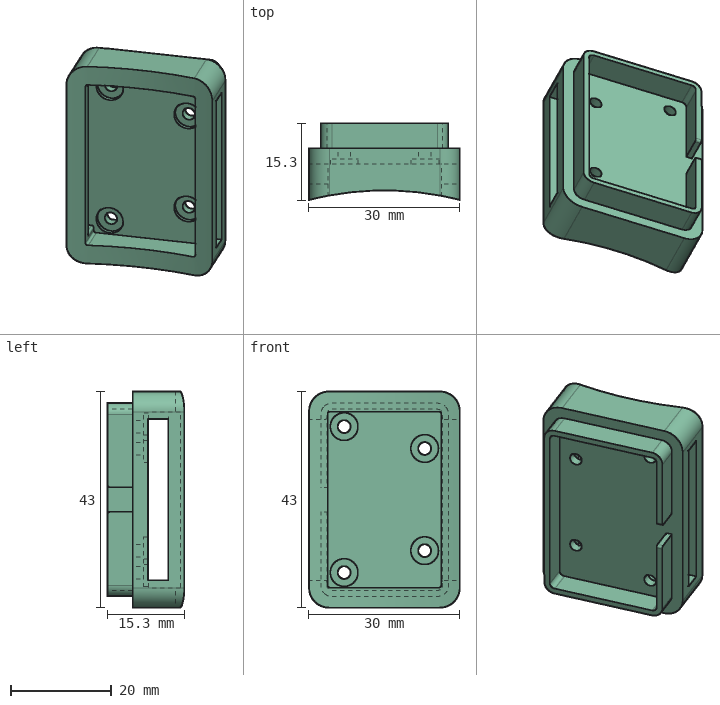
import cadquery as cq
import math

BODY_WIDTH = 30.0
BODY_HEIGHT = 43.0
BODY_CORNER_RADIUS = 4.0
SEAT_RADIUS = 60.0
TOTAL_DEPTH = 15.31

RIM_WIDTH = 25.4
RIM_HEIGHT = 38.4
RIM_DEPTH = 5.0
RIM_CORNER_RADIUS = 2.2
RIM_WALL = 1.2

NOTCH_HEIGHT = 4.9
NOTCH_EDGE_RADIUS = 0.5

POCKET_WIDTH = 22.6
POCKET_HEIGHT = 35.0
POCKET_CORNER_RADIUS = 0.5
PLATE_THICKNESS = 3.08

STRAP_SLOT_DEPTH = 4.0
STRAP_SLOT_HEIGHT = 32.0
STRAP_SLOT_LIP_RADIUS = 0.5

SCREW_HOLE_DIAMETER = 2.5
COUNTERBORE_DIAMETER = 5.5
COUNTERBORE_DEPTH = 1.0
SCREW_X = 8.0
LEFT_SCREW_Z = 14.5
RIGHT_SCREW_Z = 10.15

BODY_DEPTH = TOTAL_DEPTH - RIM_DEPTH
SEAT_RISE = SEAT_RADIUS - math.sqrt(SEAT_RADIUS**2 - (BODY_WIDTH / 2) ** 2)
SEAT_CREST_Y = SEAT_RISE - BODY_DEPTH
POCKET_FLOOR_Y = -PLATE_THICKNESS


def rounded_block(width, height, corner_radius, y_front, y_back):
    """Block centred on X and Z, with its edges along Y rounded."""
    depth = y_back - y_front
    block = cq.Workplane("XY").box(width, depth, height).edges("|Y").fillet(corner_radius)
    return block.translate((0, (y_front + y_back) / 2, 0))


def cylinder_along_y(diameter, x, z, y_front, y_back):
    """Cylinder running along Y between two depths."""
    disc = cq.Workplane("XZ", origin=(x, y_back, z)).circle(diameter / 2)
    return disc.extrude(y_back - y_front)


def make_body():
    block = rounded_block(BODY_WIDTH, BODY_HEIGHT, BODY_CORNER_RADIUS, -BODY_DEPTH, 0)
    seat = (
        cq.Workplane("XY", origin=(0, SEAT_CREST_Y - SEAT_RADIUS, 0))
        .circle(SEAT_RADIUS)
        .extrude(BODY_HEIGHT, both=True)
    )
    return block.cut(seat)


def make_rim():
    outer = rounded_block(RIM_WIDTH, RIM_HEIGHT, RIM_CORNER_RADIUS, 0, RIM_DEPTH)
    inner = rounded_block(
        RIM_WIDTH - 2 * RIM_WALL,
        RIM_HEIGHT - 2 * RIM_WALL,
        RIM_CORNER_RADIUS - RIM_WALL,
        0,
        RIM_DEPTH,
    )
    return outer.cut(inner).cut(make_notch())


def make_notch():
    """Notch whose sides flare outwards in an arc where they meet the back of the rim."""
    half = NOTCH_HEIGHT / 2
    flared_half = half + NOTCH_EDGE_RADIUS
    flare_start_y = RIM_DEPTH - NOTCH_EDGE_RADIUS
    return (
        cq.Workplane("YZ", origin=(-RIM_WIDTH / 2, 0, 0))
        .moveTo(0, -half)
        .lineTo(flare_start_y, -half)
        .radiusArc((RIM_DEPTH, -flared_half), NOTCH_EDGE_RADIUS)
        .lineTo(RIM_DEPTH, flared_half)
        .radiusArc((flare_start_y, half), NOTCH_EDGE_RADIUS)
        .lineTo(0, half)
        .close()
        .extrude(RIM_WALL)
    )


def make_pocket():
    return rounded_block(
        POCKET_WIDTH, POCKET_HEIGHT, POCKET_CORNER_RADIUS, -BODY_DEPTH, POCKET_FLOOR_Y
    )


def make_strap_slot():
    """Slot across the body whose top and bottom edges are rounded where it enters the pocket."""
    slot = cq.Workplane("XY").box(BODY_WIDTH, STRAP_SLOT_DEPTH, STRAP_SLOT_HEIGHT)
    for x_side in (1, -1):
        for z_side in (1, -1):
            slot = slot.union(make_slot_lip(x_side, z_side))
    return slot.translate((0, POCKET_FLOOR_Y - STRAP_SLOT_DEPTH / 2, 0))


def make_slot_lip(x_side, z_side):
    """Sliver to remove so that one edge between the slot and a pocket wall becomes round."""
    wall_x = POCKET_WIDTH / 2
    edge_z = STRAP_SLOT_HEIGHT / 2
    tangent_x = wall_x + STRAP_SLOT_LIP_RADIUS
    tangent_z = edge_z + STRAP_SLOT_LIP_RADIUS
    arc_offset = STRAP_SLOT_LIP_RADIUS * (1 - math.sqrt(0.5))
    return (
        cq.Workplane("XZ")
        .moveTo(x_side * wall_x, z_side * edge_z)
        .lineTo(x_side * tangent_x, z_side * edge_z)
        .threePointArc(
            (x_side * (wall_x + arc_offset), z_side * (edge_z + arc_offset)),
            (x_side * wall_x, z_side * tangent_z),
        )
        .close()
        .extrude(STRAP_SLOT_DEPTH / 2, both=True)
    )


def make_screw_hole(x, z):
    hole = cylinder_along_y(SCREW_HOLE_DIAMETER, x, z, POCKET_FLOOR_Y, 0)
    counterbore_end_y = POCKET_FLOOR_Y + COUNTERBORE_DEPTH
    counterbore = cylinder_along_y(COUNTERBORE_DIAMETER, x, z, POCKET_FLOOR_Y, counterbore_end_y)
    return hole.union(counterbore)


result = make_body().union(make_rim()).cut(make_pocket()).cut(make_strap_slot())
for screw_x, screw_z in ((-SCREW_X, LEFT_SCREW_Z), (SCREW_X, RIGHT_SCREW_Z)):
    for side in (1, -1):
        result = result.cut(make_screw_hole(screw_x, side * screw_z))